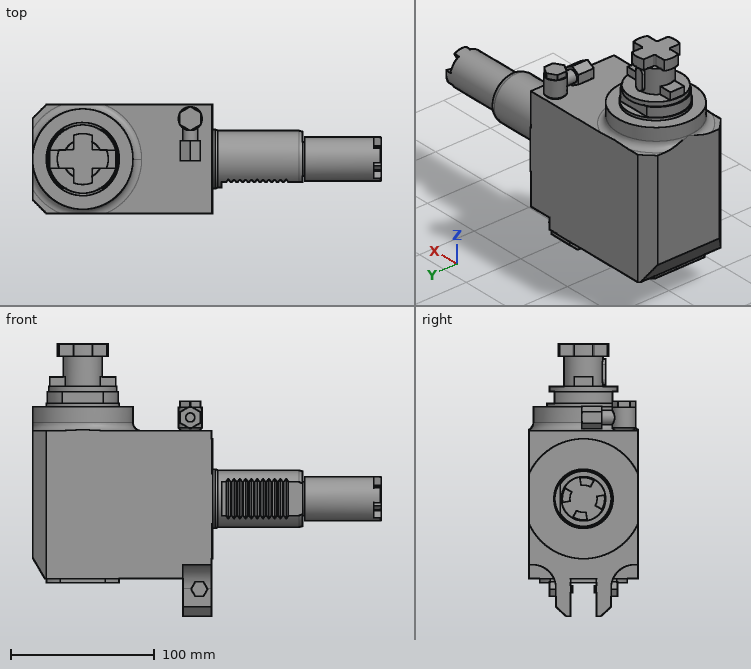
import cadquery as cq
import math


body_left = -35.0
body_right = 89.5
body_width = 76.0
body_top = 47.3
body_bottom = -55.5
corner_chamfer = 9.7
toe_height = 14.5
toe_depth = 8.5

hub_radius = -body_left
hub_flare = 5.8
hub_top = 64.0
base_ring_radius = 25.5
base_ring_top = 66.2
nut_radius = 24.7
nut_top = 74.5
nut_flat_width = 40.5
flange_radius = 23.8
flange_top = 78.0
stem_radius = 13.5
cross_bottom = 99.0
cross_top = 107.7
cross_radius = 17.7
cross_arm_width = 12.9
cross_fillet = 1.0

lug_width = 12.5
lug_span = 46.0
lug_top = 84.6
key_bottom = 79.0
key_top = 97.3
key_width = 7.3
key_reach = 15.5

cover_radius = 34.2
cover_length = 50.7
cover_width = 61.0
cover_thickness = 3.0

seat_radius = 41.7
seat_end = 90.2
collar_radius = 20.5
collar_end = 92.2
collar_taper_end = 93.9
shank_radius = 20.0
shank_end = 152.8
shank_chamfer_length = 2.7
shank_chamfer_height = 0.7
neck_radius = 12.0
tail_radius = 30.8 / 2
tail_start = 154.3
tail_end = 207.6
tail_chamfer = 0.7
tail_slot_depth = 5.3
tail_slot_count = 4
tail_slot_angle = 35.0
tail_slot_spread = 50.0
tail_bore_radius = 9.5

rack_start = 96.5
rack_flat = 16.0
groove_count = 11
groove_first = 101.1
groove_last = 141.5
groove_width = 3.2
groove_depth = 1.7

fitting_x = 74.7
fitting_y = 28.1
fitting_radius = 8.2
fitting_chamfer = 2.0
fitting_shoulder = 63.5
fitting_top = 68.0
cap_hex_flats = 14.5
nozzle_z = 56.5
nozzle_neck_radius = 5.0
nozzle_hex_flats = 13.5
nozzle_hex_back = 12.9
nozzle_hex_front = -1.2
nozzle_bore_radius = 3.2
nozzle_bore_depth = 9.7

jaw_left = 69.5
jaw_inner = 9.0
jaw_outer = 19.2
jaw_bottom = -81.7
jaw_chamfer_width = 7.0
jaw_chamfer_height = 6.5
notch_radius = 16.3
notch_top = -45.8
screw_x = 81.0
screw_z = -62.8
screw_head_flats = 10.0
screw_head_end = 23.8
screw_tip_radius = 2.5
screw_tip_end = 7.5


def box(x0, x1, y0, y1, z0, z1):
    return cq.Workplane("XY").box(x1 - x0, y1 - y0, z1 - z0, centered=False).translate((x0, y0, z0))


def disc(radius, bottom, top):
    return cq.Workplane("XY").workplane(offset=bottom).circle(radius).extrude(top - bottom)


def rod_x(radius, start, end):
    return cq.Workplane("YZ").workplane(offset=start).circle(radius).extrude(end - start)


def rod_y(radius, x, z, start, end):
    return cq.Workplane("XZ", origin=(x, start, z)).circle(radius).extrude(start - end)


def hexagon(plane, flats):
    """Hexagon on a plane with its corners on the plane's local x axis."""
    return plane.polygon(6, flats / math.cos(math.pi / 6))


def make_body():
    half = body_width / 2
    body = box(body_left, body_right, -half, half, body_bottom, hub_top)
    body = body.edges("|Z and <X").chamfer(corner_chamfer)
    toe = (
        cq.Workplane("XZ")
        .moveTo(body_left, body_bottom)
        .lineTo(body_left + toe_depth, body_bottom)
        .lineTo(body_left, body_bottom + toe_height)
        .close()
        .extrude(half, both=True)
    )
    flare_top = body_top + hub_flare
    hub = (
        cq.Workplane("XZ")
        .moveTo(0, body_top)
        .lineTo(hub_radius + hub_flare, body_top)
        .radiusArc((hub_radius, flare_top), hub_flare)
        .lineTo(hub_radius, hub_top)
        .lineTo(0, hub_top)
        .close()
        .revolve(360, (0, 0, 0), (0, 1, 0))
    )
    block = box(body_left, body_right, -half, half, body_bottom, body_top)
    return body.intersect(block.union(hub)).cut(toe)


def make_cross(bottom, top):
    """Four-armed coupling prism, symmetric about the Z axis."""
    span = 2 * cross_radius
    cross = (
        cq.Workplane("XY")
        .rect(span, cross_arm_width)
        .extrude(top - bottom)
        .union(cq.Workplane("XY").rect(cross_arm_width, span).extrude(top - bottom))
    )
    near_axis = cq.selectors.BoxSelector(
        (-cross_arm_width, -cross_arm_width, 0), (cross_arm_width, cross_arm_width, top - bottom)
    )
    cross = cross.edges("|Z").edges(near_axis).fillet(cross_fillet)
    return cross.translate((0, 0, bottom)).intersect(disc(cross_radius, bottom, top))


def make_spindle():
    nut = disc(nut_radius, base_ring_top, nut_top).intersect(
        box(-nut_radius, nut_radius, -nut_flat_width / 2, nut_flat_width / 2, base_ring_top, nut_top)
    )
    lugs = box(-lug_span / 2, lug_span / 2, -lug_width / 2, lug_width / 2, flange_top, lug_top)
    key = (
        cq.Workplane("XZ", origin=(0, 0, (key_bottom + key_top) / 2))
        .slot2D(key_top - key_bottom, key_width, 90)
        .extrude(-key_reach)
    )
    return (
        disc(base_ring_radius, hub_top, base_ring_top)
        .union(nut)
        .union(disc(flange_radius, nut_top, flange_top))
        .union(disc(stem_radius, flange_top, cross_bottom))
        .union(lugs)
        .union(key)
        .union(make_cross(cross_bottom, cross_top))
    )


def make_cover():
    bottom = body_bottom - cover_thickness
    outline = box(
        -cover_length / 2, cover_length / 2, -cover_width / 2, cover_width / 2, bottom, body_bottom
    )
    return disc(cover_radius, bottom, body_bottom).intersect(outline)


def make_shank():
    half = body_width / 2
    seat = rod_x(seat_radius, body_right, seat_end).intersect(
        box(body_right, seat_end, -half, half, -seat_radius, seat_radius)
    )
    shank = (
        cq.Workplane("XY")
        .moveTo(body_right, 0)
        .lineTo(body_right, collar_radius)
        .lineTo(collar_end, collar_radius)
        .lineTo(collar_taper_end, shank_radius)
        .lineTo(shank_end - shank_chamfer_length, shank_radius)
        .lineTo(shank_end, shank_radius - shank_chamfer_height)
        .lineTo(shank_end, neck_radius)
        .lineTo(tail_start, neck_radius)
        .lineTo(tail_start, tail_radius)
        .lineTo(tail_end - tail_chamfer, tail_radius)
        .lineTo(tail_end, tail_radius - tail_chamfer)
        .lineTo(tail_end, 0)
        .close()
        .revolve(360, (0, 0, 0), (1, 0, 0))
    )
    return seat.union(shank.cut(make_rack_cutter()).cut(make_tail_slots()))


def make_rack_cutter():
    """Flat on the shank plus the V grooves cut across it."""
    pitch = (groove_last - groove_first) / (groove_count - 1)
    cutter = box(rack_start, shank_end, -shank_radius, -rack_flat, -shank_radius, shank_radius)
    for index in range(groove_count):
        middle = groove_first + index * pitch
        groove = (
            cq.Workplane("XY")
            .moveTo(middle - groove_width / 2, -rack_flat)
            .lineTo(middle, -rack_flat + groove_depth)
            .lineTo(middle + groove_width / 2, -rack_flat)
            .close()
            .extrude(shank_radius, both=True)
        )
        cutter = cutter.union(groove)
    return cutter


def make_tail_slots():
    """Recess in the tail end that leaves a ring of coupling teeth with radial sides."""
    floor = tail_end - tail_slot_depth
    recess = rod_x(tail_bore_radius, floor, tail_end)
    reach = 2 * tail_radius
    half_width = reach * math.tan(math.radians(tail_slot_spread / 2))
    slot = (
        cq.Workplane("YZ", origin=(floor, 0, 0))
        .polyline([(0, 0), (reach, -half_width), (reach, half_width)])
        .close()
        .extrude(tail_slot_depth)
    )
    for index in range(tail_slot_count):
        angle = tail_slot_angle + index * 360 / tail_slot_count
        recess = recess.union(slot.rotate((0, 0, 0), (1, 0, 0), angle))
    return recess


def make_fitting():
    barrel = disc(fitting_radius, body_top, fitting_shoulder).faces("<Z").chamfer(fitting_chamfer)
    cap = hexagon(cq.Workplane("XY"), cap_hex_flats).extrude(fitting_top - fitting_shoulder)
    cap = cap.rotate((0, 0, 0), (0, 0, 1), 90).translate((0, 0, fitting_shoulder))
    cap = cap.intersect(disc(fitting_radius, fitting_shoulder, fitting_top))
    neck = rod_y(nozzle_neck_radius, fitting_x, nozzle_z, fitting_y, nozzle_hex_back)
    nut_plane = cq.Workplane("XZ").transformed(rotate=(0, 0, 90))
    nut = hexagon(nut_plane, nozzle_hex_flats).extrude(nozzle_hex_back - nozzle_hex_front)
    nut = nut.translate((fitting_x, nozzle_hex_back, nozzle_z))
    bore_end = nozzle_hex_front + nozzle_bore_depth
    bore = rod_y(nozzle_bore_radius, fitting_x, nozzle_z, bore_end, nozzle_hex_front)
    return barrel.union(cap).translate((fitting_x, fitting_y, 0)).union(neck).union(nut).cut(bore)


def make_notch():
    """Recess beside the -Y jaw, with a rounded ceiling."""
    return (
        cq.Workplane("YZ", origin=(jaw_left, 0, 0))
        .moveTo(-jaw_outer, body_bottom - notch_radius)
        .lineTo(-jaw_outer, notch_top - notch_radius)
        .radiusArc((-jaw_outer - notch_radius, notch_top), -notch_radius)
        .lineTo(-body_width / 2, notch_top)
        .lineTo(-body_width / 2, body_bottom - notch_radius)
        .close()
        .extrude(seat_end - jaw_left)
    )


def make_jaw():
    """Clamp jaw on the -Y side with its hexagon screw."""
    jaw = (
        cq.Workplane("YZ", origin=(jaw_left, 0, 0))
        .moveTo(-jaw_inner, notch_top)
        .lineTo(-jaw_inner, jaw_bottom)
        .lineTo(-jaw_outer + jaw_chamfer_width, jaw_bottom)
        .lineTo(-jaw_outer, jaw_bottom + jaw_chamfer_height)
        .lineTo(-jaw_outer, notch_top - notch_radius)
        .radiusArc((-jaw_outer - notch_radius, notch_top), -notch_radius)
        .close()
        .extrude(body_right - jaw_left)
    )
    head = hexagon(cq.Workplane("XZ"), screw_head_flats).extrude(screw_head_end - jaw_outer)
    head = head.translate((screw_x, -jaw_outer, screw_z))
    tip = rod_y(screw_tip_radius, screw_x, screw_z, -screw_tip_end, -jaw_outer)
    return jaw.union(head).union(tip)


notch = make_notch()
jaw = make_jaw()
result = (
    make_body()
    .union(make_cover())
    .union(make_spindle())
    .union(make_shank())
    .union(make_fitting())
    .cut(notch)
    .cut(notch.mirror("XZ"))
    .union(jaw)
    .union(jaw.mirror("XZ"))
)